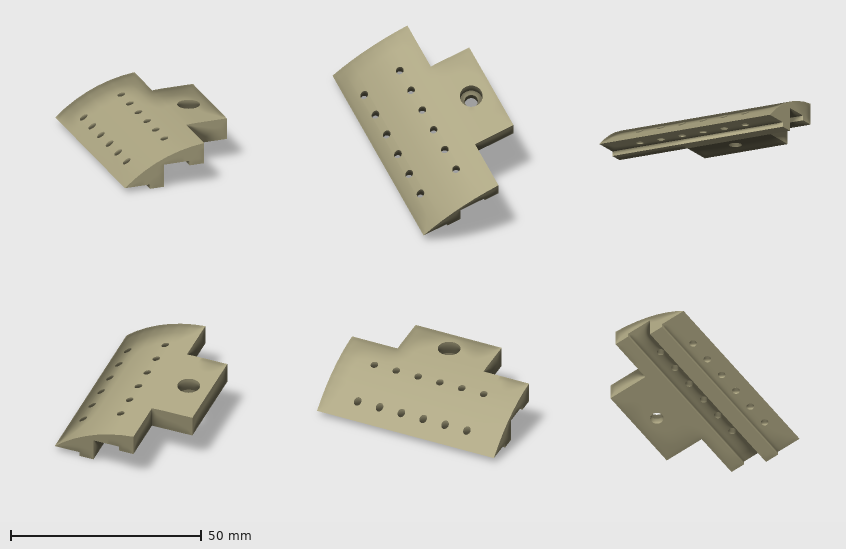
import cadquery as cq

body_width = 51.1
total_depth = 33.74
total_height = 10.87

lip_bottom = 1.25
foot_front = 7.1
foot_back = 11.0
channel_back = 18.2
channel_top = 6.3
tab_bottom = 5.0
body_back = 22.3
crest_y = 25.3

crest_drop = total_height - lip_bottom
top_radius = (crest_y**2 + crest_drop**2) / (2 * crest_drop)
arc_mid_y = crest_y / 2
arc_mid_z = total_height - top_radius + (top_radius**2 - (crest_y - arc_mid_y)**2) ** 0.5

tab_width = 24.85
screw_y = 27.75
screw_diameter = 3.5
head_diameter = 6.0
head_depth = 3.6

hole_diameter = 2.0
hole_count = 6
hole_pitch = 6.31
row_offset_x = 0.07
row_positions = (4.23, 14.82)


def make_profile():
    """Full side profile in the YZ plane, from the front edge to the back of the tab."""
    return (
        cq.Workplane("YZ")
        .moveTo(0, lip_bottom)
        .lineTo(foot_front, lip_bottom)
        .lineTo(foot_front, 0)
        .lineTo(foot_back, 0)
        .lineTo(foot_back, channel_top)
        .lineTo(channel_back, channel_top)
        .lineTo(channel_back, tab_bottom)
        .lineTo(total_depth, tab_bottom)
        .lineTo(total_depth, total_height)
        .lineTo(crest_y, total_height)
        .threePointArc((arc_mid_y, arc_mid_z), (0, lip_bottom))
        .close()
    )


def make_tab_side_cut(side):
    """Block beside the tab, side = -1 or +1, that narrows the part behind the body."""
    shoulder = (body_width - tab_width) / 2
    return (
        cq.Workplane("XY")
        .center(side * (tab_width + shoulder) / 2, (body_back + total_depth) / 2)
        .rect(shoulder, total_depth - body_back)
        .extrude(total_height)
    )


def make_hole_rows():
    """Vertical cylinders for both rows of holes."""
    first_x = row_offset_x - hole_pitch * (hole_count - 1) / 2
    centres = [(first_x + i * hole_pitch, y) for y in row_positions for i in range(hole_count)]
    return cq.Workplane("XY").pushPoints(centres).circle(hole_diameter / 2).extrude(total_height)


def make_screw_hole():
    """Through hole in the tab with a counterbore from the flat top."""
    shank = cq.Workplane("XY").center(0, screw_y).circle(screw_diameter / 2).extrude(total_height)
    head = (
        cq.Workplane("XY", origin=(0, screw_y, total_height - head_depth))
        .circle(head_diameter / 2)
        .extrude(head_depth)
    )
    return shank.union(head)


result = make_profile().extrude(body_width / 2, both=True)
for side in (-1, 1):
    result = result.cut(make_tab_side_cut(side))
result = result.cut(make_hole_rows())
result = result.cut(make_screw_hole())